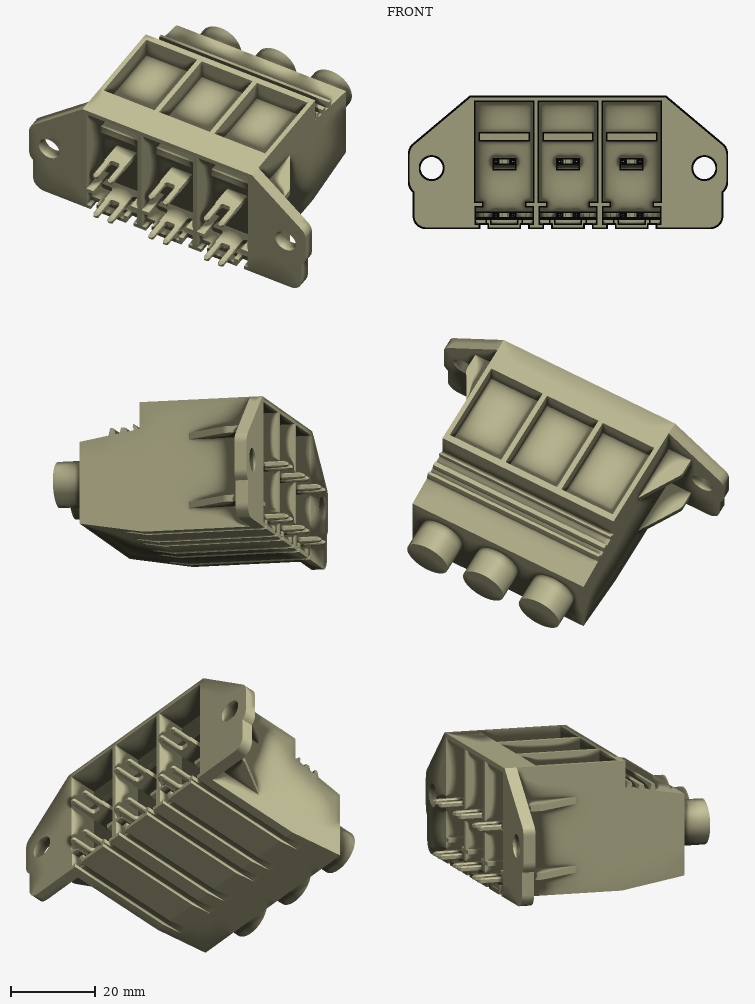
import cadquery as cq
import math


POLE_COUNT = 3
POLE_PITCH = 15.0
POLE_CENTRES = [(i - (POLE_COUNT - 1) / 2) * POLE_PITCH for i in range(POLE_COUNT)]

BODY_WIDTH = 46.0
BODY_HEIGHT = 31.1
BODY_LENGTH = 44.5
STEP_Y = 29.9
STEP_BASE_Z = 24.7
REAR_TOP_Z = 22.3
REAR_BOTTOM_Z = 2.7
TAPER_START_Y = 29.0

RIDGE_FOOT_Z = 23.0
RIDGES = [
    [(37.55, RIDGE_FOOT_Z), (37.1, 25.2), (36.4, 25.2), (35.75, RIDGE_FOOT_Z)],
    [(35.0, RIDGE_FOOT_Z), (34.45, 25.2), (33.4, 25.2), (32.6, RIDGE_FOOT_Z)],
    [
        (31.5, RIDGE_FOOT_Z),
        (31.35, 24.8),
        (31.6, 25.2),
        (31.45, 25.9),
        (31.2, 25.9),
        (30.3, 24.9),
        (30.3, RIDGE_FOOT_Z),
    ],
]

FLANGE_WIDTH = 75.0
FLANGE_THICKNESS = 3.0
FLANGE_ANGLE = 40.0
FLANGE_CORNER_RADIUS = 3.0
FLANGE_HOLE_X = 32.1
FLANGE_HOLE_Z = 14.2
FLANGE_HOLE_DIAMETER = 5.6
EAR_BOTTOM_Z = 10.9
FOOT_INSET = 1.1

GUSSET_REACH = 6.0
GUSSET_EDGE_Y = 7.5
GUSSET_TOP_Y = 17.9
GUSSET_THICKNESS = 1.6
GUSSET_BEND_RADIUS = 2.5
GUSSET_BOTTOMS = (5.05, 21.55)

POCKET_WIDTH = 13.8
POCKET_FRONT_Y = 8.1
POCKET_REAR_Y = 28.3
POCKET_DEPTH = 5.0

CHAMBER_WIDTH = 13.9
CHAMBER_DEPTH = 7.3
CHAMBER_CEILING_Z = 29.9
RAIL_BOTTOM_Z = 5.1
RAIL_TOP_Z = 6.1
RAIL_REACH = 1.9
LOWER_CHAMBER_WIDTH = 13.6
FLOOR_Z = 1.0
PLATFORM_Z = 2.2
PLATFORM_FRONT_Y = 2.0
TONGUE_WIDTH = 8.5
TROUGH_WIDTH = 6.3
GROOVE_INNER_X = 3.8
GROOVE_OUTER_X = 5.8
STOP_WIDTH = 11.7
STOP_BOTTOM_Z = 20.6
STOP_TOP_Z = 22.5
STOP_FRONT_Y = 5.0

SHEET = 1.3
PIN_TIP_Y = -4.75
PIN_ROOT_Y = 1.0
PIN_EDGE_CHAMFER = 0.25
PIN_SIDE_TAPER_LENGTH = 0.5
PIN_FACE_TAPER_LENGTH = 1.0
PIN_TAPER_DEPTH = 0.4
FORK_WIDTH = 5.3
FORK_SLOT_WIDTH = 2.5
FORK_SLOT_END_Y = 1.75
FORK_SLOT_RADIUS = 0.6
CONTACT_END_Y = CHAMBER_DEPTH + SHEET
UPPER_TOP_Z = 16.4
UPPER_BEND_RADIUS = 1.3
LOWER_TOP_Z = 3.85
SHOULDER_Y = 5.4
SHOULDER_RADIUS = 1.8
NECK_RADIUS = 0.95

SCREW_DIAMETER = 10.9
SCREW_LENGTH = 7.2
SCREW_Z = 13.75


def block(x_min, x_max, y_min, y_max, z_min, z_max):
    return cq.Workplane("XY").box(
        x_max - x_min, y_max - y_min, z_max - z_min, centered=False
    ).translate((x_min, y_min, z_min))


def pole_block(x, width, y_min, y_max, z_min, z_max):
    """Block centred on the pole at x."""
    return block(x - width / 2, x + width / 2, y_min, y_max, z_min, z_max)


def side_prism(points, width):
    """Prism with a (Y, Z) outline, centred on X = 0."""
    return cq.Workplane("YZ").polyline(points).close().extrude(width / 2, both=True)


def make_body():
    profile = [
        (0, 0),
        (TAPER_START_Y, 0),
        (BODY_LENGTH, REAR_BOTTOM_Z),
        (BODY_LENGTH, REAR_TOP_Z),
        (STEP_Y, STEP_BASE_Z),
        (STEP_Y, BODY_HEIGHT),
        (0, BODY_HEIGHT),
    ]
    body = side_prism(profile, BODY_WIDTH)
    for ridge in RIDGES:
        body = body.union(side_prism(ridge, BODY_WIDTH))
    return body


def make_flange_half():
    """Half of the flange on the +X side, from the middle to the ear."""
    edge_x = FLANGE_WIDTH / 2
    foot_x = edge_x - FOOT_INSET
    body_x = BODY_WIDTH / 2
    radius = FLANGE_CORNER_RADIUS
    ear_top_z = BODY_HEIGHT - (edge_x - body_x) * math.tan(math.radians(FLANGE_ANGLE))
    ear_drop = math.sqrt(radius**2 - (radius - FOOT_INSET) ** 2)
    half_turn = math.acos(1 - FOOT_INSET / radius) / 2
    ear_middle = (
        edge_x - radius * (1 - math.cos(half_turn)),
        EAR_BOTTOM_Z - radius * math.sin(half_turn),
    )
    plate = (
        cq.Workplane("XZ")
        .moveTo(0, 0)
        .lineTo(foot_x, 0)
        .lineTo(foot_x, EAR_BOTTOM_Z - ear_drop)
        .threePointArc(ear_middle, (edge_x, EAR_BOTTOM_Z))
        .lineTo(edge_x, ear_top_z)
        .lineTo(body_x, BODY_HEIGHT)
        .lineTo(0, BODY_HEIGHT)
        .close()
        .extrude(-FLANGE_THICKNESS)
    )
    for x, z in ((foot_x, 0), (edge_x, ear_top_z)):
        corner = cq.selectors.NearestToPointSelector((x, FLANGE_THICKNESS / 2, z))
        plate = plate.edges("|Y").edges(corner).fillet(radius)
    hole = (
        cq.Workplane("XZ")
        .center(FLANGE_HOLE_X, FLANGE_HOLE_Z)
        .circle(FLANGE_HOLE_DIAMETER / 2)
        .extrude(-FLANGE_THICKNESS)
    )
    return plate.cut(hole)


def make_gusset(bottom_z):
    """Stiffening web between the flange and the body on the +X side."""
    inner_x = BODY_WIDTH / 2
    outer_x = inner_x + GUSSET_REACH
    gusset = (
        cq.Workplane("XY", origin=(0, 0, bottom_z))
        .polyline([(inner_x, 0), (outer_x, 0), (outer_x, GUSSET_EDGE_Y), (inner_x, GUSSET_TOP_Y)])
        .close()
        .extrude(GUSSET_THICKNESS)
    )
    bend = cq.selectors.NearestToPointSelector((outer_x, GUSSET_EDGE_Y, bottom_z + GUSSET_THICKNESS / 2))
    return gusset.edges("|Z").edges(bend).fillet(GUSSET_BEND_RADIUS)


def make_chamber(x):
    """Empty space of one contact chamber, open towards the mounting face."""
    rail_gap = CHAMBER_WIDTH - 2 * RAIL_REACH
    space = pole_block(x, CHAMBER_WIDTH, 0, CHAMBER_DEPTH, RAIL_TOP_Z, CHAMBER_CEILING_Z)
    space = space.union(pole_block(x, rail_gap, 0, CHAMBER_DEPTH, RAIL_BOTTOM_Z, RAIL_TOP_Z))
    space = space.union(pole_block(x, LOWER_CHAMBER_WIDTH, 0, CHAMBER_DEPTH, PLATFORM_Z, RAIL_BOTTOM_Z))
    space = space.cut(pole_block(x, STOP_WIDTH, STOP_FRONT_Y, CHAMBER_DEPTH, STOP_BOTTOM_Z, STOP_TOP_Z))

    low_floor = pole_block(x, LOWER_CHAMBER_WIDTH, 0, PLATFORM_FRONT_Y, FLOOR_Z, PLATFORM_Z)
    low_floor = low_floor.cut(pole_block(x, TONGUE_WIDTH, 0, PLATFORM_FRONT_Y, FLOOR_Z, PLATFORM_Z))
    low_floor = low_floor.union(pole_block(x, TROUGH_WIDTH, 0, PLATFORM_FRONT_Y, FLOOR_Z, PLATFORM_Z))
    return space.union(low_floor)


def make_grooves(x):
    """Two grooves along the underside of one pole."""
    right = block(x + GROOVE_INNER_X, x + GROOVE_OUTER_X, 0, BODY_LENGTH, 0, FLOOR_Z)
    left = block(x - GROOVE_OUTER_X, x - GROOVE_INNER_X, 0, BODY_LENGTH, 0, FLOOR_Z)
    return right.union(left)


def tapered_outline(workplane, width, taper_length):
    """Outline centred on the workplane's first axis, from the pin root to a tip narrowed on both sides."""
    half = width / 2
    tip_half = half - PIN_TAPER_DEPTH
    taper_y = PIN_TIP_Y + taper_length
    return workplane.polyline([
        (-half, PIN_ROOT_Y),
        (-half, taper_y),
        (-tip_half, PIN_TIP_Y),
        (tip_half, PIN_TIP_Y),
        (half, taper_y),
        (half, PIN_ROOT_Y),
    ]).close()


def make_pin(x, top_z):
    """Straight pin with chamfered edges and a tip tapered on all four sides."""
    width = (FORK_WIDTH - FORK_SLOT_WIDTH) / 2
    middle_z = top_z - SHEET / 2
    pin = pole_block(x, width, PIN_TIP_Y, PIN_ROOT_Y, top_z - SHEET, top_z)
    pin = pin.edges("|Y").chamfer(PIN_EDGE_CHAMFER)
    plan_plane = cq.Workplane("XY", origin=(x, 0, middle_z))
    side_plane = cq.Workplane("ZY", origin=(x, 0, middle_z))
    plan = tapered_outline(plan_plane, width, PIN_SIDE_TAPER_LENGTH).extrude(SHEET, both=True)
    side = tapered_outline(side_plane, SHEET, PIN_FACE_TAPER_LENGTH).extrude(width, both=True)
    return pin.intersect(plan).intersect(side)


def make_fork(contact, x, top_z):
    """Cut the gap at the front of a contact and add its two pins."""
    slot_end = pole_block(
        x, FORK_SLOT_WIDTH, PIN_ROOT_Y - FORK_SLOT_RADIUS, FORK_SLOT_END_Y, top_z - SHEET, top_z
    )
    contact = contact.cut(slot_end.edges("|Z and >Y").fillet(FORK_SLOT_RADIUS))
    pin_x = (FORK_WIDTH + FORK_SLOT_WIDTH) / 4
    for side in (-1, 1):
        contact = contact.union(make_pin(x + side * pin_x, top_z))
    return contact


def make_upper_contact(x):
    """Two-pinned strip that bends down into the chamber's rear wall."""
    bottom_z = UPPER_TOP_Z - SHEET
    outer_radius = UPPER_BEND_RADIUS + SHEET
    bend_y = CHAMBER_DEPTH - UPPER_BEND_RADIUS
    bend_z = bottom_z - UPPER_BEND_RADIUS
    diagonal = math.sqrt(0.5)
    strip = (
        cq.Workplane("YZ", origin=(x - FORK_WIDTH / 2, 0, 0))
        .moveTo(PIN_ROOT_Y, bottom_z)
        .lineTo(PIN_ROOT_Y, UPPER_TOP_Z)
        .lineTo(bend_y, UPPER_TOP_Z)
        .threePointArc(
            (bend_y + outer_radius * diagonal, bend_z + outer_radius * diagonal),
            (CONTACT_END_Y, bend_z),
        )
        .lineTo(CHAMBER_DEPTH, bend_z)
        .threePointArc(
            (bend_y + UPPER_BEND_RADIUS * diagonal, bend_z + UPPER_BEND_RADIUS * diagonal),
            (bend_y, bottom_z),
        )
        .close()
        .extrude(FORK_WIDTH)
    )
    return make_fork(strip, x, UPPER_TOP_Z)


def make_lower_contact(x):
    """Two-pinned flat plate with wide shoulders, set into the chamber's rear wall."""
    bottom_z = LOWER_TOP_Z - SHEET
    strip = pole_block(x, FORK_WIDTH, PIN_ROOT_Y, CONTACT_END_Y, bottom_z, LOWER_TOP_Z)
    shoulders = pole_block(x, LOWER_CHAMBER_WIDTH, SHOULDER_Y, CONTACT_END_Y, bottom_z, LOWER_TOP_Z)
    shoulders = shoulders.edges("|Z and <Y").fillet(SHOULDER_RADIUS)
    plate = strip.union(shoulders)
    for side in (-1, 1):
        neck = cq.selectors.NearestToPointSelector(
            (x + side * FORK_WIDTH / 2, SHOULDER_Y, LOWER_TOP_Z - SHEET / 2)
        )
        plate = plate.edges("|Z").edges(neck).fillet(NECK_RADIUS)
    return make_fork(plate, x, LOWER_TOP_Z)


def make_screw(x):
    return (
        cq.Workplane("XZ", origin=(x, BODY_LENGTH, SCREW_Z))
        .circle(SCREW_DIAMETER / 2)
        .extrude(-SCREW_LENGTH)
    )


def make_housing(contacts):
    housing = make_body()
    flange_half = make_flange_half()
    side_parts = [flange_half] + [make_gusset(z) for z in GUSSET_BOTTOMS]
    for part in side_parts:
        housing = housing.union(part).union(part.mirror("YZ"))
    pocket_floor_z = BODY_HEIGHT - POCKET_DEPTH
    for x in POLE_CENTRES:
        housing = housing.cut(
            pole_block(x, POCKET_WIDTH, POCKET_FRONT_Y, POCKET_REAR_Y, pocket_floor_z, BODY_HEIGHT)
        )
        housing = housing.cut(make_chamber(x))
        housing = housing.cut(make_grooves(x))
    for contact in contacts:
        housing = housing.cut(contact)
    return housing


upper_contacts = [make_upper_contact(x) for x in POLE_CENTRES]
lower_contacts = [make_lower_contact(x) for x in POLE_CENTRES]
screws = [make_screw(x) for x in POLE_CENTRES]
housing = make_housing(upper_contacts + lower_contacts)

bodies = [housing] + upper_contacts + lower_contacts + screws
result = cq.Compound.makeCompound([body.solids().val() for body in bodies])